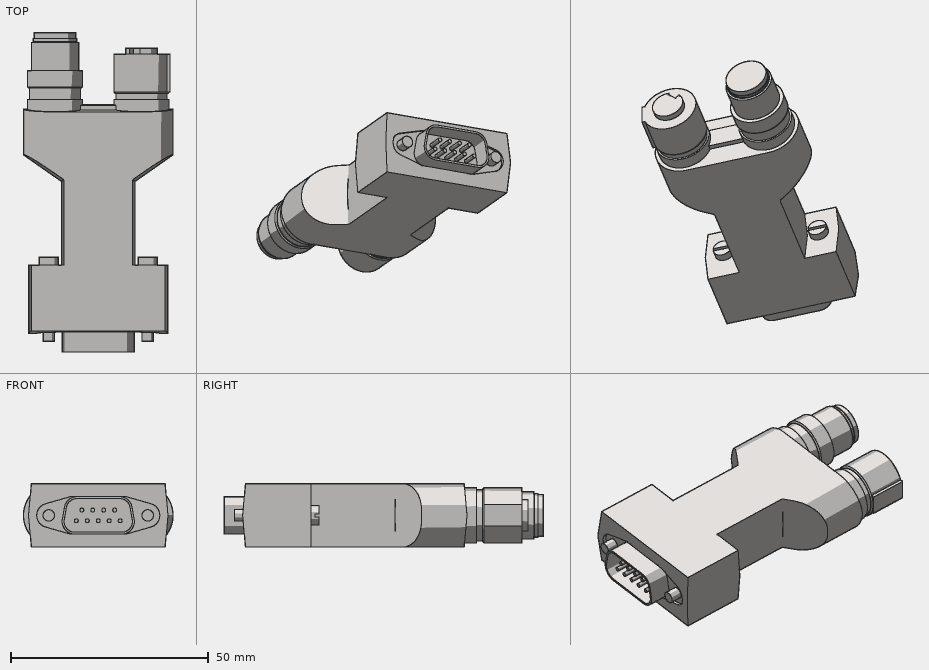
import cadquery as cq
import math


HOUSING_HEIGHT = 16.0
HALF_HEIGHT = HOUSING_HEIGHT / 2
DRAFT_ANGLE = 5.0
BLOCK_WIDTH = 35.25
BLOCK_DEPTH = 17.3
NECK_WIDTH = 18.7
NECK_END_Y = 38.45
FLARE_END_Y = 45.15
HOUSING_END_Y = 56.7
HEAD_WIDTH = 37.85

TAB_WIDTH = 14.0
TAB_HEIGHT = 5.5
TAB_END_Y = 57.9

CONNECTOR_X = HEAD_WIDTH / 2 - HALF_HEIGHT
FLANGE_RADIUS = 7.0
FLANGE_START_Y = 50.0
FLANGE_END_Y = 59.15
COLLAR_RADIUS = 6.5
RING_RADIUS = 7.0
RING_CHAMFER = 0.35

PLUG_RING_START_Y = 62.0
PLUG_RING_END_Y = 66.45
PLUG_BODY_RADIUS = 6.0
PLUG_BODY_END_Y = 73.6
PLUG_SEAL_RADIUS = 5.55
PLUG_SEAL_START_Y = 73.8
PLUG_SEAL_END_Y = 74.6
PLUG_TIP_RADIUS = 5.3
PLUG_TIP_END_Y = 76.03

SOCKET_RING_START_Y = 60.65
SOCKET_RING_END_Y = 70.6
SOCKET_INSERT_RADIUS = 4.0
SOCKET_INSERT_END_Y = 72.15
KEYWAY_ANGLE = 135.0
KEYWAY_FLOOR = 2.66
KEYWAY_WIDTH = 2.86
KEYWAY_OFFSET = 1.15
RIB_WIDTH = 5.4
RIB_REACH = 7.25

SCREW_SPACING = 25.0
POCKET_DEPTH = 1.0
POCKET_END_RADIUS = 3.05
POCKET_CROWN_HALF_WIDTH = 7.0
POCKET_CROWN_HALF_HEIGHT = 4.75
SHELL_END_Y = -4.7
SHELL_WALL = 0.5
SHELL_HALF_HEIGHT = 4.75
SHELL_MID_HALF_WIDTH = 8.9
SHELL_SLANT = 10.0
SHELL_CORNER_RADIUS = 3.2
PIN_DIAMETER = 1.0
PIN_PITCH = 2.77
PIN_ROW_SPACING = 2.7
PIN_SETBACK = 1.0
LOWER_ROW_PINS = 5
UPPER_ROW_PINS = 4

SCREW_RADIUS = 1.45
SCREW_END_Y = -2.0
SCREW_HEAD_RADIUS = 2.45
SCREW_HEAD_HEIGHT = 2.0
SCREW_SLOT_WIDTH = 0.8
SCREW_SLOT_DEPTH = 1.05


def drafted(outline_points, half_height):
    """Extrude an XY outline both ways from Z = 0, drawing in with the draft angle."""
    outline = cq.Workplane("XY").polyline(outline_points).close()
    upper = outline.extrude(half_height, taper=DRAFT_ANGLE)
    return upper.union(upper.mirror("XY"))


def rectangle_points(width, start_y, end_y):
    half = width / 2
    return [(-half, start_y), (half, start_y), (half, end_y), (-half, end_y)]


def along_y(start_y, end_y):
    """XZ workplane at start_y and the signed extrusion length that reaches end_y."""
    return cq.Workplane("XZ", origin=(0, start_y, 0)), start_y - end_y


def cylinder(x, radius, start_y, end_y):
    plane, length = along_y(start_y, end_y)
    return plane.center(x, 0).circle(radius).extrude(length)


def box_along_y(width, height, start_y, end_y):
    plane, length = along_y(start_y, end_y)
    return plane.rect(width, height).extrude(length)


def make_block():
    """D-sub block: drafted sides and front, square rear face."""
    overlap = 2.0
    raw = drafted(rectangle_points(BLOCK_WIDTH, 0, BLOCK_DEPTH + overlap), HALF_HEIGHT)
    return raw.intersect(box_along_y(BLOCK_WIDTH, HOUSING_HEIGHT, 0, BLOCK_DEPTH))


def make_neck_and_head():
    """Neck flaring into the head, whose long sides are rounded to full half circles."""
    neck = NECK_WIDTH / 2
    head = HEAD_WIDTH / 2
    flare_slope = (FLARE_END_Y - NECK_END_Y) / (head - neck)
    wide = head + HALF_HEIGHT
    wide_y = FLARE_END_Y + flare_slope * (wide - head)
    start_y = BLOCK_DEPTH / 2
    right_side = [(neck, start_y), (neck, NECK_END_Y), (wide, wide_y), (wide, HOUSING_END_Y)]
    left_side = [(-x, y) for x, y in reversed(right_side)]
    raw = drafted(right_side + left_side, HALF_HEIGHT)
    plane, length = along_y(start_y, HOUSING_END_Y)
    rounded = plane.slot2D(HEAD_WIDTH, HOUSING_HEIGHT).extrude(length)
    return raw.intersect(rounded)


def make_tab():
    return drafted(rectangle_points(TAB_WIDTH, FLANGE_START_Y, TAB_END_Y), TAB_HEIGHT / 2)


def make_connector_base(x, ring_start_y, ring_end_y):
    """Flange, collar and gripping ring shared by both round connectors."""
    flange = cylinder(x, FLANGE_RADIUS, FLANGE_START_Y, FLANGE_END_Y)
    collar = cylinder(x, COLLAR_RADIUS, FLANGE_START_Y, ring_end_y)
    ring = cylinder(x, RING_RADIUS, ring_start_y, ring_end_y).faces("<Y").chamfer(RING_CHAMFER)
    return flange.union(collar).union(ring)


def make_plug():
    x = -CONNECTOR_X
    plug = make_connector_base(x, PLUG_RING_START_Y, PLUG_RING_END_Y)
    plug = plug.union(cylinder(x, PLUG_BODY_RADIUS, PLUG_RING_START_Y, PLUG_BODY_END_Y))
    plug = plug.union(cylinder(x, PLUG_TIP_RADIUS, PLUG_RING_START_Y, PLUG_TIP_END_Y))
    return plug.union(cylinder(x, PLUG_SEAL_RADIUS, PLUG_SEAL_START_Y, PLUG_SEAL_END_Y))


def make_insert():
    """Contact insert of the socket with its flat-floored keyway."""
    insert = cylinder(0, SOCKET_INSERT_RADIUS, SOCKET_RING_START_Y, SOCKET_INSERT_END_Y)
    plane, length = along_y(SOCKET_RING_END_Y, SOCKET_INSERT_END_Y)
    reach = SOCKET_INSERT_RADIUS
    keyway = plane.center(KEYWAY_FLOOR + reach / 2, -KEYWAY_OFFSET)
    keyway = keyway.rect(reach, KEYWAY_WIDTH).extrude(length)
    keyway = keyway.rotate((0, 0, 0), (0, 1, 0), -KEYWAY_ANGLE)
    return insert.cut(keyway).translate((CONNECTOR_X, 0, 0))


def make_socket():
    socket = make_connector_base(CONNECTOR_X, SOCKET_RING_START_Y, SOCKET_RING_END_Y)
    rib_start_y = SOCKET_RING_START_Y + RING_CHAMFER
    rib = box_along_y(RIB_REACH, RIB_WIDTH, rib_start_y, SOCKET_RING_END_Y)
    rib = rib.translate((CONNECTOR_X + RIB_REACH / 2, 0, 0))
    return socket.union(rib).union(make_insert())


def make_pocket():
    """Recess for the D-sub flange: a crowned band running out to round ends."""
    end_x = SCREW_SPACING / 2
    run = end_x - POCKET_CROWN_HALF_WIDTH
    distance = math.hypot(run, POCKET_CROWN_HALF_HEIGHT)
    tilt = math.atan2(POCKET_CROWN_HALF_HEIGHT, run) - math.asin(POCKET_END_RADIUS / distance)
    tangent_x = end_x + POCKET_END_RADIUS * math.sin(tilt)
    tangent_z = POCKET_END_RADIUS * math.cos(tilt)
    tip_x = end_x + POCKET_END_RADIUS
    plane, length = along_y(POCKET_DEPTH, 0)
    outline = (
        plane.moveTo(-POCKET_CROWN_HALF_WIDTH, POCKET_CROWN_HALF_HEIGHT)
        .lineTo(POCKET_CROWN_HALF_WIDTH, POCKET_CROWN_HALF_HEIGHT)
        .lineTo(tangent_x, tangent_z)
        .threePointArc((tip_x, 0), (tangent_x, -tangent_z))
        .lineTo(POCKET_CROWN_HALF_WIDTH, -POCKET_CROWN_HALF_HEIGHT)
        .lineTo(-POCKET_CROWN_HALF_WIDTH, -POCKET_CROWN_HALF_HEIGHT)
        .lineTo(-tangent_x, -tangent_z)
        .threePointArc((-tip_x, 0), (-tangent_x, tangent_z))
        .close()
    )
    return outline.extrude(length)


def d_prism(inset, start_y):
    """D-shaped prism from start_y to the shell rim, drawn in by inset on every side."""
    slant = math.radians(SHELL_SLANT)
    half_height = SHELL_HALF_HEIGHT - inset
    mid_half_width = SHELL_MID_HALF_WIDTH - inset / math.cos(slant)
    lean = half_height * math.tan(slant)
    top = mid_half_width - lean
    bottom = mid_half_width + lean
    plane, length = along_y(start_y, SHELL_END_Y)
    points = [(-top, half_height), (top, half_height), (bottom, -half_height), (-bottom, -half_height)]
    prism = plane.polyline(points).close().extrude(length)
    return prism.edges("|Y").fillet(SHELL_CORNER_RADIUS - inset)


def make_shell():
    outer = d_prism(0, POCKET_DEPTH)
    inner = d_prism(SHELL_WALL, POCKET_DEPTH)
    return outer.cut(inner)


def make_pins():
    plane, length = along_y(POCKET_DEPTH, SHELL_END_Y + PIN_SETBACK)
    rows = [(LOWER_ROW_PINS, -PIN_ROW_SPACING / 2), (UPPER_ROW_PINS, PIN_ROW_SPACING / 2)]
    points = []
    for count, z in rows:
        for index in range(count):
            points.append(((index - (count - 1) / 2) * PIN_PITCH, z))
    return plane.pushPoints(points).circle(PIN_DIAMETER / 2).extrude(length)


def make_screw(x):
    """Jack screw: shank end at the D-sub face, slotted head behind the block."""
    head_end_y = BLOCK_DEPTH + SCREW_HEAD_HEIGHT
    shank = cylinder(x, SCREW_RADIUS, POCKET_DEPTH, SCREW_END_Y)
    head = cylinder(x, SCREW_HEAD_RADIUS, BLOCK_DEPTH, head_end_y)
    slot = box_along_y(2 * SCREW_HEAD_RADIUS, SCREW_SLOT_WIDTH, head_end_y - SCREW_SLOT_DEPTH, head_end_y)
    return shank.union(head.cut(slot.translate((x, 0, 0))))


result = make_block().union(make_neck_and_head()).cut(make_pocket())
result = result.union(make_tab()).union(make_plug()).union(make_socket())
result = result.union(make_shell()).union(make_pins())
for side in (-1, 1):
    result = result.union(make_screw(side * SCREW_SPACING / 2))